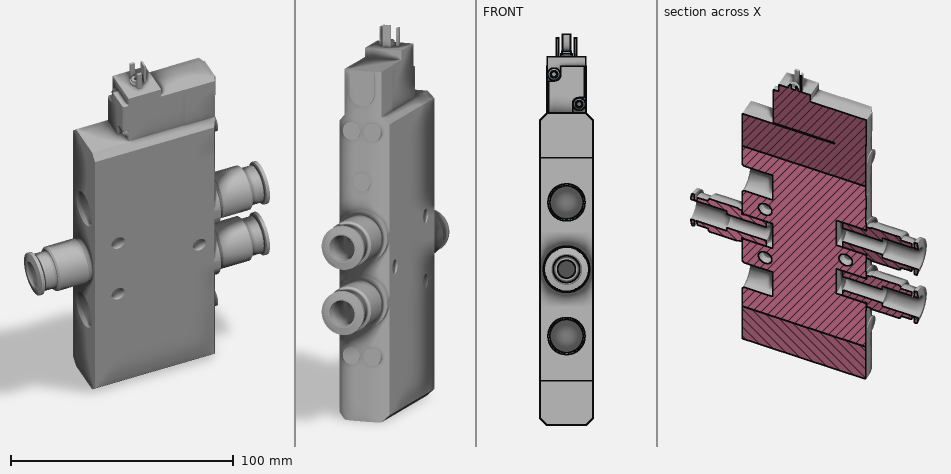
import cadquery as cq


valve_width = 24.0
valve_depth = 61.5
valve_height = 140.0
cover_height = 20.0
end_chamfer = 3.15
rear_flat_half = 3.4
rear_curve_depth = 3.0

valve_middle = valve_height / 2
exhaust_pitch = 30.0
outlet_pitch = 30.0
port_diameter = 14.95
port_mouth_diameter = 16.66
port_mouth_depth = (port_mouth_diameter - port_diameter) / 2
port_depth = 15.0
mounting_hole_diameter = 6.5
mounting_hole_front = 11.4
mounting_hole_rear = 51.4
mounting_hole_pitch = 30.0
rear_relief = 0.4
rear_plane = valve_depth + rear_relief
outlet_boss_diameter = 24.4
stud_diameter = 8.2
stud_offset = 5.0
housing_stud_height = 30.0
centre_stud_height = 110.0
head_stud_height = 133.2
exhaust_heights = [valve_middle - exhaust_pitch, valve_middle + exhaust_pitch]
outlet_heights = [valve_middle - outlet_pitch / 2, valve_middle + outlet_pitch / 2]

seat_diameter = 19.4
seat_height = 0.5
neck_diameter = 19.8
neck_height = 1.9
sleeve_diameter = 20.8
sleeve_shoulder = 16.2
sleeve_end = 17.0
sleeve_bevel = 0.4
nose_diameter = 17.4
nose_end = 22.6
release_stem_diameter = 13.4
release_ring_diameter = 20.0
release_ring_start = 23.6
release_rim_end = 25.1
fitting_length = 25.75
tube_diameter = 12.0
tube_depth = 18.0
bore_diameter = 8.0
spigot_length = 12.0

carrier_half_width = valve_width / 2 - end_chamfer
carrier_front = 45.8
carrier_top = 161.2
coil_inset = 0.12
coil_half_width = carrier_half_width - coil_inset
coil_gap = 0.3
tower_top = 165.4
tower_rear = 34.0
tower_front = 18.0
plate_front = 15.3
plate_edge_chamfer = 0.75
screw_diameter = 5.6
screw_height = 1.2
screw_taper = 45.0
screw_socket_diameter = 2.5
screw_socket_depth = 0.8
screw_clearance = 3.0
notch_corner_radius = 2.95
upper_screw = (-5.6, 157.5)
lower_screw = (5.7, 144.1)
pad_half_width = 5.9
pad_centre_height = 150.8

pin_axis = 25.45
boss_diameter = 5.2
boss_height = 1.3
collar_diameter = 4.13
collar_height = 2.5
boss_hole_diameter = 2.0
ground_pin_axis = 29.15
ground_pin_size = (3.8, 0.9)
ground_pin_top = 175.5
contact_pin_offset = 4.0
contact_pin_size = (1.1, 2.2)
contact_pin_top = 173.9


def block(x_range, y_range, z_range):
    """Box between the given low and high limits on each axis."""
    limits = (x_range, y_range, z_range)
    size = [high - low for low, high in limits]
    return cq.Workplane().box(*size, centered=False).translate([low for low, _ in limits])


def rear_cylinder(diameter, x, z, y_start, y_end):
    """Cylinder along Y between two Y positions."""
    plane = cq.Workplane(cq.Plane((x, y_start, z), (1, 0, 0), (0, 1, 0)))
    return plane.circle(diameter / 2).extrude(y_end - y_start)


def valve_section(z_low, z_high):
    """Length of the valve profile, whose flat rear face curves forward to a sharp edge at each side."""
    half = valve_width / 2
    return (
        cq.Workplane()
        .workplane(offset=z_low)
        .moveTo(0, valve_depth)
        .lineTo(rear_flat_half, valve_depth)
        .tangentArcPoint((half, valve_depth - rear_curve_depth), relative=False)
        .lineTo(half, 0)
        .lineTo(0, 0)
        .mirrorY()
        .extrude(z_high - z_low)
    )


def end_outline():
    """Full-height front outline whose four corners are chamfered; it trims the ends of the valve."""
    outline = cq.Workplane().box(valve_width, 2 * valve_depth, valve_height)
    return outline.edges("|Y").chamfer(end_chamfer).translate((0, valve_depth / 2, valve_middle))


def rear_stud(x, z):
    """Round stud standing just proud of the rear face."""
    return rear_cylinder(stud_diameter, x, z, valve_depth - rear_curve_depth, rear_plane)


def port(z):
    """Blind port with a countersunk mouth, revolved about its own axis and entering at local Y = 0."""
    radius = port_diameter / 2
    points = [
        (0, 0),
        (port_mouth_diameter / 2, 0),
        (radius, port_mouth_depth),
        (radius, port_depth),
        (0, port_depth),
    ]
    return cq.Workplane().polyline(points).close().revolve(360, (0, 0), (0, 1)).translate((0, 0, z))


def turned_to_rear(front_shape):
    """Turn a shape from the front seat to the rear seat."""
    return front_shape.rotate((0, 0, 0), (0, 0, 1), 180).translate((0, rear_plane, 0))


def make_housing():
    housing = valve_section(cover_height, valve_height - cover_height)
    half = valve_width / 2
    width_limit = block((-half, half), (0, rear_plane), (0, valve_height))
    for z in outlet_heights:
        boss = rear_cylinder(outlet_boss_diameter, 0, z, valve_depth - rear_curve_depth, rear_plane)
        housing = housing.union(boss.intersect(width_limit))
    for x in (-stud_offset, stud_offset):
        housing = housing.union(rear_stud(x, housing_stud_height))
    housing = housing.union(rear_stud(0, centre_stud_height))

    for z in [*exhaust_heights, valve_middle]:
        housing = housing.cut(port(z))
    for z in outlet_heights:
        housing = housing.cut(turned_to_rear(port(z)))

    mounting_holes = (
        cq.Workplane("YZ")
        .pushPoints(
            [
                (mounting_hole_front, valve_middle - mounting_hole_pitch / 2),
                (mounting_hole_front, valve_middle + mounting_hole_pitch / 2),
                (mounting_hole_rear, valve_middle),
            ]
        )
        .circle(mounting_hole_diameter / 2)
        .extrude(half, both=True)
    )
    return housing.cut(mounting_holes)


def make_bottom_cover():
    return valve_section(0, cover_height).intersect(end_outline())


def make_fitting(z):
    """Push-in fitting seated on the front face, its spigot filling the straight part of a port."""
    fitting_half = [
        (bore_diameter / 2, spigot_length),
        (port_diameter / 2, spigot_length),
        (port_diameter / 2, 0),
        (seat_diameter / 2, 0),
        (seat_diameter / 2, -seat_height),
        (neck_diameter / 2, -seat_height),
        (neck_diameter / 2, -neck_height),
        (sleeve_diameter / 2 - sleeve_bevel, -neck_height),
        (sleeve_diameter / 2, -neck_height - sleeve_bevel),
        (sleeve_diameter / 2, -sleeve_shoulder),
        (sleeve_diameter / 2 - (sleeve_end - sleeve_shoulder), -sleeve_end),
        (nose_diameter / 2, -sleeve_end),
        (nose_diameter / 2, -nose_end),
        (release_stem_diameter / 2, -nose_end),
        (release_stem_diameter / 2, -release_ring_start),
        (release_ring_diameter / 2, -release_ring_start),
        (release_ring_diameter / 2, -release_rim_end),
        (release_stem_diameter / 2, -fitting_length),
        (tube_diameter / 2, -fitting_length),
        (tube_diameter / 2, tube_depth - fitting_length),
        (bore_diameter / 2, tube_depth - fitting_length),
    ]
    return cq.Workplane().polyline(fitting_half).close().revolve(360, (0, 0), (0, 1)).translate((0, 0, z))


def screw_notch(screw, side):
    """Corner notch in the coil's front plate, open outward past one screw and rounded around it.

    side is -1 for the upper left screw and +1 for the lower right screw.
    """
    x, z = screw
    inner_x = x - side * screw_clearance
    inner_z = z + side * screw_clearance
    outer_x = side * valve_width
    outer_z = valve_height if side > 0 else tower_top
    notch = block(
        (min(inner_x, outer_x), max(inner_x, outer_x)),
        (plate_front, tower_front),
        (min(inner_z, outer_z), max(inner_z, outer_z)),
    )
    round_corner = cq.selectors.NearestToPointSelector((inner_x, (plate_front + tower_front) / 2, inner_z))
    return notch.edges("|Y").edges(round_corner).fillet(notch_corner_radius)


def coil_screw(screw):
    """Conical screw head, tapering toward the front, with a round socket."""
    x, z = screw
    seat = cq.Workplane("XZ", origin=(x, tower_front, z))
    head = seat.circle(screw_diameter / 2).extrude(screw_height, taper=screw_taper)
    socket_start = tower_front - screw_height
    socket = rear_cylinder(screw_socket_diameter, x, z, socket_start, socket_start + screw_socket_depth)
    return head.cut(socket)


def make_coil():
    """Coil block with its raised connector tower, front plate and two screws."""
    width = (-coil_half_width, coil_half_width)
    base = valve_height + coil_gap
    coil = block(width, (tower_front, carrier_front), (base, carrier_top))
    coil = coil.union(block(width, (tower_front, tower_rear), (base, tower_top)))

    plate = block(width, (plate_front, tower_front), (base, carrier_top))
    plate = plate.faces("<Y").edges("|Z").chamfer(plate_edge_chamfer)
    plate = plate.cut(screw_notch(upper_screw, -1)).cut(screw_notch(lower_screw, 1))
    coil = coil.union(plate)
    for screw in (upper_screw, lower_screw):
        coil = coil.union(coil_screw(screw))
    return coil


def make_connector():
    """Flat ground pin, two contact pins and the stepped screw boss between them."""
    tower = cq.Workplane().workplane(offset=tower_top)
    boss = tower.center(0, pin_axis).circle(boss_diameter / 2).extrude(boss_height)
    boss = boss.union(tower.center(0, pin_axis).circle(collar_diameter / 2).extrude(collar_height))
    boss = boss.cut(tower.center(0, pin_axis).circle(boss_hole_diameter / 2).extrude(collar_height))
    ground_pin = tower.center(0, ground_pin_axis).rect(*ground_pin_size).extrude(ground_pin_top - tower_top)
    contact_pins = (
        tower.pushPoints([(-contact_pin_offset, pin_axis), (contact_pin_offset, pin_axis)])
        .rect(*contact_pin_size)
        .extrude(contact_pin_top - tower_top)
    )
    return [boss, ground_pin, contact_pins]


def rear_pad():
    """Raised pad on the back of the coil carrier, rounded at its lower end."""
    pad_start = valve_depth - rear_curve_depth
    pad = rear_cylinder(2 * pad_half_width, 0, pad_centre_height, pad_start, rear_plane)
    pad_sides = (-pad_half_width, pad_half_width)
    return pad.union(block(pad_sides, (pad_start, rear_plane), (pad_centre_height, carrier_top)))


def make_pilot_head():
    """Upper valve cover in one piece with the coil carrier, coil and connector."""
    head = valve_section(valve_height - cover_height, valve_height).intersect(end_outline())
    carrier_limit = block(
        (-carrier_half_width, carrier_half_width),
        (carrier_front, valve_depth),
        (valve_height, carrier_top),
    )
    head = head.union(valve_section(valve_height, carrier_top).intersect(carrier_limit))
    for x in (-stud_offset, stud_offset):
        head = head.union(rear_stud(x, head_stud_height))
    head = head.union(rear_pad()).union(make_coil())
    for piece in make_connector():
        head = head.union(piece)
    return head


housing = make_housing()
bottom_cover = make_bottom_cover()
pilot_head = make_pilot_head()
exhaust_side_fitting = make_fitting(valve_middle)
outlet_fittings = [turned_to_rear(make_fitting(z)) for z in outlet_heights]

result = cq.Compound.makeCompound(
    [
        *housing.solids().vals(),
        *bottom_cover.solids().vals(),
        *pilot_head.solids().vals(),
        *exhaust_side_fitting.solids().vals(),
        *[fitting.solids().val() for fitting in outlet_fittings],
    ]
)